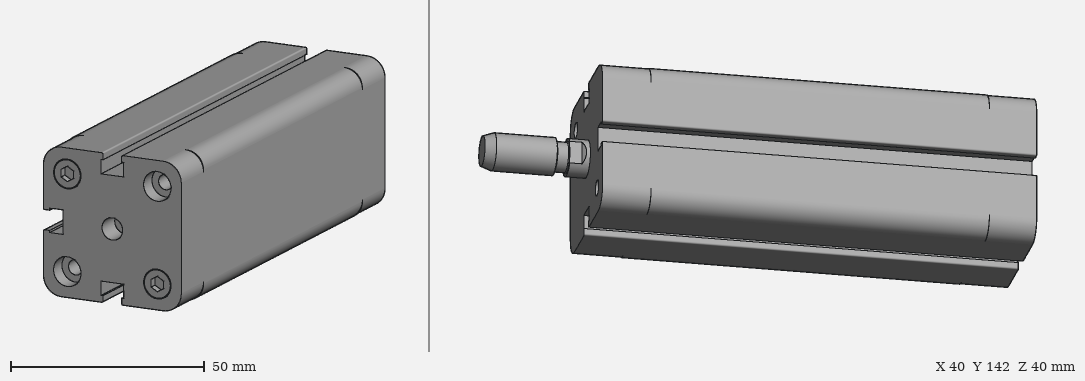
import cadquery as cq

TOTAL_LENGTH = 142.0
BODY_SIDE = 40.0
ROD_LENGTH = 27.5
BODY_LENGTH = TOTAL_LENGTH - ROD_LENGTH

FRONT_CAP_LENGTH = 12.8
REAR_CAP_LENGTH = 12.5
CAP_CORNER_RADIUS = 5.3
BARREL_CORNER_RADIUS = 4.8
BARREL_LENGTH = BODY_LENGTH - FRONT_CAP_LENGTH - REAR_CAP_LENGTH

SLOT_MOUTH_WIDTH = 5.4
SLOT_EDGE_RADIUS = 0.4
SLOT_WIDTH = 6.5
SLOT_LIP = 1.8
SLOT_DEPTH = 5.7

HOLE_OFFSET = 13.0
HOLE_DIAMETER = 4.1
COUNTERBORE_DIAMETER = 8.0
COUNTERBORE_DEPTH = 4.7
SCREW_HEAD_DIAMETER = 7.5
SOCKET_CORNER_DIAMETER = 4.1
SOCKET_DEPTH = 2.1
CENTRE_HOLE_DIAMETER = 6.0
CENTRE_HOLE_DEPTH = 7.1

ROD_DIAMETER = 10.0
TIP_DIAMETER = 8.0
TIP_TAPER_LENGTH = 2.8
NECK_DIAMETER = 8.0
NECK_LENGTH = 3.4
NECK_END_BEVEL = 0.3
COLLAR_LENGTH = 5.3
FLATS_WIDTH = 8.0
FLATS_LENGTH = 3.3

REAR_Y = -BODY_LENGTH / 2
FRONT_Y = REAR_Y + BODY_LENGTH


def section_plane(y):
    """XZ plane at the given Y, with its normal along +Y and local y along +Z."""
    return cq.Workplane(cq.Plane(origin=(0, y, 0), xDir=(-1, 0, 0), normal=(0, 1, 0)))


def rounded_bar(y, length, corner_radius):
    bar = section_plane(y).rect(BODY_SIDE, BODY_SIDE).extrude(length)
    return bar.edges("|Y").fillet(corner_radius)


def slot_cutter(angle):
    """Slot along the full body in the +Z face, turned about Y to its own face."""
    face_z = BODY_SIDE / 2
    lip_z = face_z - SLOT_LIP
    floor_z = face_z - SLOT_DEPTH
    half_width = SLOT_WIDTH / 2
    half_mouth = SLOT_MOUTH_WIDTH / 2
    edge_z = face_z - SLOT_EDGE_RADIUS
    edge_x = half_mouth + SLOT_EDGE_RADIUS
    outline = (
        section_plane(REAR_Y)
        .moveTo(-half_width, floor_z)
        .lineTo(half_width, floor_z)
        .lineTo(half_width, lip_z)
        .lineTo(half_mouth, lip_z)
        .lineTo(half_mouth, edge_z)
        .radiusArc((edge_x, face_z), SLOT_EDGE_RADIUS)
        .lineTo(-edge_x, face_z)
        .radiusArc((-half_mouth, edge_z), SLOT_EDGE_RADIUS)
        .lineTo(-half_mouth, lip_z)
        .lineTo(-half_width, lip_z)
        .close()
    )
    cutter = outline.extrude(BODY_LENGTH)
    return cutter.rotate((0, 0, 0), (0, 1, 0), angle)


def rear_cylinder(x, z, diameter, depth):
    """Cylinder reaching from the rear face into the body."""
    return section_plane(REAR_Y).center(-x, z).circle(diameter / 2).extrude(depth)


def mounting_hole(x, z):
    counterbore = rear_cylinder(x, z, COUNTERBORE_DIAMETER, COUNTERBORE_DEPTH)
    return counterbore.union(rear_cylinder(x, z, HOLE_DIAMETER, BODY_LENGTH))


def screw_clearance(x, z):
    """Ring gap around a flush screw head, together with the hexagon socket in the head."""
    head = rear_cylinder(x, z, SCREW_HEAD_DIAMETER, COUNTERBORE_DEPTH)
    gap = rear_cylinder(x, z, COUNTERBORE_DIAMETER, COUNTERBORE_DEPTH).cut(head)
    hexagon = cq.Workplane("XY").polygon(6, SOCKET_CORNER_DIAMETER).extrude(SOCKET_DEPTH)
    socket = hexagon.rotate((0, 0, 0), (0, 0, 1), 90).rotate((0, 0, 0), (1, 0, 0), -90)
    return gap.add(socket.translate((x, REAR_Y, z))).combine()


def piston_rod():
    collar_y = FRONT_Y + COLLAR_LENGTH
    thread_y = collar_y + NECK_LENGTH
    tip_y = FRONT_Y + ROD_LENGTH
    rod_radius = ROD_DIAMETER / 2
    neck_radius = NECK_DIAMETER / 2
    bevel_radius = neck_radius + NECK_END_BEVEL
    half_profile = [
        (0, FRONT_Y),
        (rod_radius, FRONT_Y),
        (rod_radius, collar_y),
        (bevel_radius, collar_y),
        (neck_radius, collar_y + NECK_END_BEVEL),
        (neck_radius, thread_y - NECK_END_BEVEL),
        (bevel_radius, thread_y),
        (rod_radius, thread_y),
        (rod_radius, tip_y - TIP_TAPER_LENGTH),
        (TIP_DIAMETER / 2, tip_y),
        (0, tip_y),
    ]
    rod = cq.Workplane("XY").polyline(half_profile).close().revolve(360, (0, 0, 0), (0, 1, 0))
    for side in (-1, 1):
        rod = rod.cut(wrench_flat(side, collar_y))
    return rod


def wrench_flat(side, collar_y):
    """Flat on one X side of the collar, running out to the rod surface at 45 degrees."""
    flat_x = FLATS_WIDTH / 2
    run_out = ROD_DIAMETER / 2 - flat_x
    flat_end_y = collar_y - FLATS_LENGTH
    outline = [
        (side * flat_x, collar_y),
        (side * flat_x, flat_end_y),
        (side * (flat_x + run_out), flat_end_y - run_out),
        (side * (flat_x + run_out), collar_y),
    ]
    return cq.Workplane("XY").polyline(outline).close().extrude(ROD_DIAMETER / 2, both=True)


body = rounded_bar(REAR_Y + REAR_CAP_LENGTH, BARREL_LENGTH, BARREL_CORNER_RADIUS)
rear_cap = rounded_bar(REAR_Y, REAR_CAP_LENGTH, CAP_CORNER_RADIUS)
front_cap = rounded_bar(FRONT_Y - FRONT_CAP_LENGTH, FRONT_CAP_LENGTH, CAP_CORNER_RADIUS)
body = body.union(rear_cap, clean=False).union(front_cap, clean=False)

for angle in (0, 180, -90):
    body = body.cut(slot_cutter(angle), clean=False)

for sign in (-1, 1):
    offset = sign * HOLE_OFFSET
    body = body.cut(mounting_hole(offset, offset), clean=False)
    body = body.cut(screw_clearance(offset, -offset), clean=False)

body = body.cut(rear_cylinder(0, 0, CENTRE_HOLE_DIAMETER, CENTRE_HOLE_DEPTH), clean=False)

result = body.union(piston_rod(), clean=False)